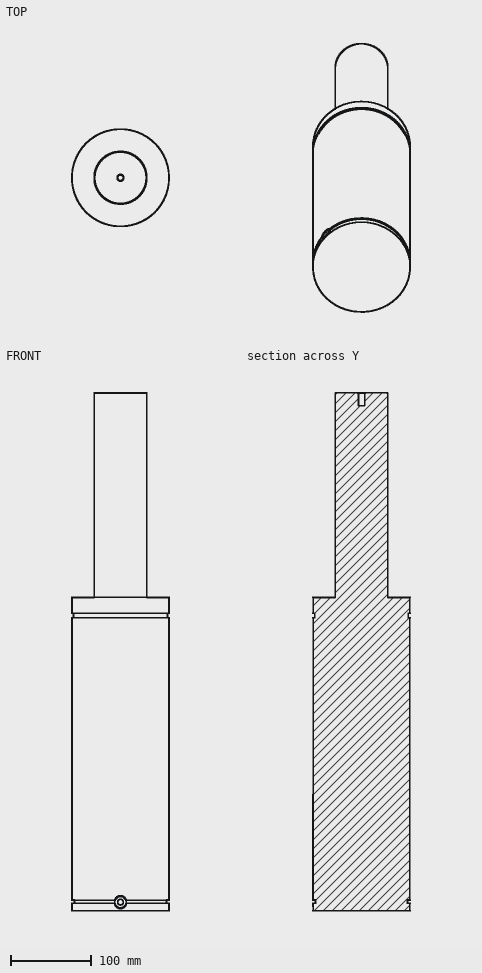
import cadquery as cq

total_height = 640.0
body_diameter = 120.0
body_height = 387.0
rod_diameter = 65.0
rod_edge_chamfer = 0.95

upper_groove_top = body_height - 20.0
upper_groove_width = 5.0
upper_groove_depth = 2.0
lower_groove_top = 13.5
lower_groove_width = 4.0
lower_groove_depth = 3.0

rod_hole_diameter = 7.0
rod_hole_mouth_diameter = 8.0
rod_hole_depth = 16.0

port_height = 11.0
port_diameter = 14.0
port_mouth_diameter = 16.0
port_depth = 4.0
port_bore_diameter = 7.0
port_bore_depth = 13.0


def cylinder(diameter, bottom, height):
    """Upright cylinder on the part axis."""
    return cq.Workplane("XY").workplane(offset=bottom).circle(diameter / 2).extrude(height)


def ring_groove(top, width, depth):
    """Ring of material to remove from the outside of the body."""
    bottom = top - width
    outer = cylinder(body_diameter + 2 * depth, bottom, width)
    return outer.cut(cylinder(body_diameter - 2 * depth, bottom, width))


def chamfered_hole(plane, diameter, mouth_diameter, depth):
    """Blind hole with a 45 degree mouth, cut against the normal of the plane."""
    radius = diameter / 2
    mouth_radius = mouth_diameter / 2
    chamfer = mouth_radius - radius
    profile = [(0, 0), (mouth_radius, 0), (radius, -chamfer), (radius, -depth), (0, -depth)]
    hole = cq.Workplane("XZ").polyline(profile).close().revolve(360, (0, 0), (0, 1))
    return cq.Workplane(hole.val().moved(cq.Location(plane)))


rod = cylinder(rod_diameter, 0, total_height).faces(">Z").chamfer(rod_edge_chamfer)
result = cylinder(body_diameter, 0, body_height).union(rod)

result = result.cut(ring_groove(upper_groove_top, upper_groove_width, upper_groove_depth))
result = result.cut(ring_groove(lower_groove_top, lower_groove_width, lower_groove_depth))

rod_end = cq.Plane(origin=(0, 0, total_height))
result = result.cut(chamfered_hole(rod_end, rod_hole_diameter, rod_hole_mouth_diameter, rod_hole_depth))

port_face = cq.Plane(origin=(0, -body_diameter / 2, port_height), xDir=(1, 0, 0), normal=(0, -1, 0))
result = result.cut(chamfered_hole(port_face, port_diameter, port_mouth_diameter, port_depth))
port_bore = cq.Workplane(port_face).circle(port_bore_diameter / 2).extrude(-port_bore_depth)
result = result.cut(port_bore)